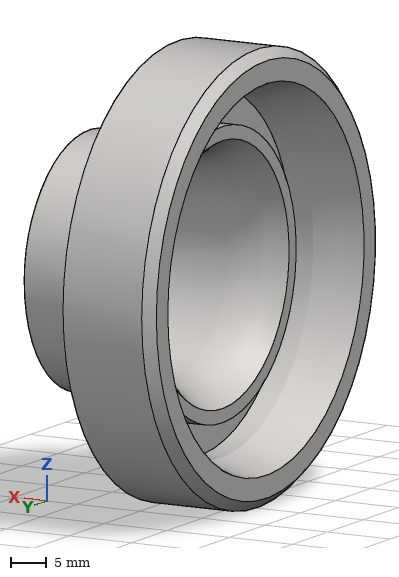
import cadquery as cq
import math

flange_radius = 32.5
flange_thickness = 14.05
flange_chamfer = 1.5
back_slope = math.radians(10)

total_length = 29.0
hub_radius = 37.0 / 2
hub_fillet = 5.0
hub_chamfer_depth = 1.5
hub_chamfer_length = hub_chamfer_depth * math.tan(math.radians(30))

recess_mouth_radius = 27.75
recess_floor_radius = 51.8 / 2
taper_depth = 7.0
recess_depth = 10.5

collar_radius = 42.0 / 2
collar_face_x = taper_depth
bore_radius = 32.0 / 2
bore_mouth_radius = 19.0
flare_radius = 12.6


def outer_body():
    """Flange and hub, revolved about X, joined by a fillet tangent to the sloped back and the hub."""
    tangent_r = hub_radius + hub_fillet * (1 - math.sin(back_slope))
    tangent_x = flange_thickness + (flange_radius - tangent_r) * math.tan(back_slope)
    fillet_end_x = tangent_x + hub_fillet * math.cos(back_slope)
    middle_angle = (math.pi / 2 + back_slope) / 2
    fillet_middle = (
        fillet_end_x - hub_fillet * math.cos(middle_angle),
        hub_radius + hub_fillet * (1 - math.sin(middle_angle)),
    )
    profile = (
        cq.Workplane("XY")
        .moveTo(0, 0)
        .lineTo(0, flange_radius - flange_chamfer)
        .lineTo(flange_chamfer, flange_radius)
        .lineTo(flange_thickness, flange_radius)
        .lineTo(tangent_x, tangent_r)
        .threePointArc(fillet_middle, (fillet_end_x, hub_radius))
        .lineTo(total_length - hub_chamfer_length, hub_radius)
        .lineTo(total_length, hub_radius - hub_chamfer_depth)
        .lineTo(total_length, 0)
        .close()
    )
    return profile.revolve(360, (0, 0, 0), (1, 0, 0))


def inner_cavity():
    """Recess around the collar and the through bore, whose flare runs tangent into the bore."""
    flare_rise = bore_mouth_radius - bore_radius
    flare_angle = math.acos(1 - flare_rise / flare_radius)
    flare_end_x = collar_face_x + flare_radius * math.sin(flare_angle)
    flare_middle = (
        flare_end_x - flare_radius * math.sin(flare_angle / 2),
        bore_radius + flare_radius * (1 - math.cos(flare_angle / 2)),
    )
    profile = (
        cq.Workplane("XY")
        .moveTo(0, 0)
        .lineTo(0, recess_mouth_radius)
        .lineTo(taper_depth, recess_floor_radius)
        .lineTo(recess_depth, recess_floor_radius)
        .lineTo(recess_depth, collar_radius)
        .lineTo(collar_face_x, collar_radius)
        .lineTo(collar_face_x, bore_mouth_radius)
        .threePointArc(flare_middle, (flare_end_x, bore_radius))
        .lineTo(total_length, bore_radius)
        .lineTo(total_length, 0)
        .close()
    )
    return profile.revolve(360, (0, 0, 0), (1, 0, 0))


result = outer_body().cut(inner_cavity())